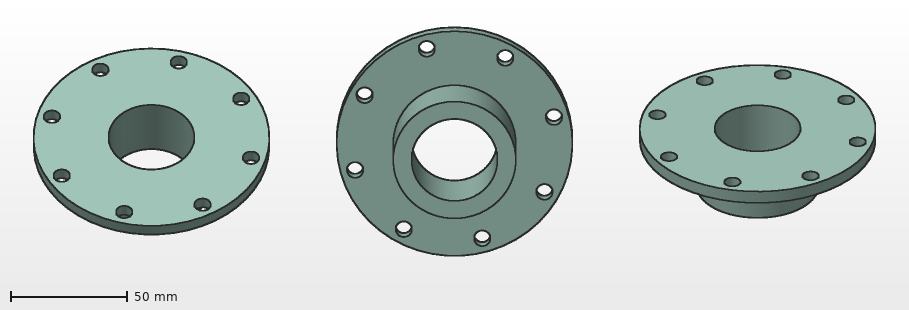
import cadquery as cq

flange_diameter = 101.6
flange_thickness = 5.8
overall_height = 29.0
hub_diameter = 52.8
bore_diameter = 37.0
bolt_circle_diameter = 88.9
bolt_hole_diameter = 7.0
bolt_hole_count = 8

hub_length = overall_height - flange_thickness


def make_body():
    """Round flange on top of a hub, with the hub's lower face at Z = 0."""
    hub = cq.Workplane("XY").circle(hub_diameter / 2).extrude(hub_length)
    flange = (
        cq.Workplane("XY")
        .workplane(offset=hub_length)
        .circle(flange_diameter / 2)
        .extrude(flange_thickness)
    )
    return hub.union(flange)


def cut_bore(body):
    """Central bore through the flange and the hub."""
    return body.faces(">Z").workplane().hole(bore_diameter)


def cut_bolt_holes(body):
    """Evenly spaced through holes around the flange, the first on the X axis."""
    return (
        body.faces(">Z")
        .workplane()
        .polarArray(bolt_circle_diameter / 2, 0, 360, bolt_hole_count)
        .hole(bolt_hole_diameter)
    )


result = cut_bolt_holes(cut_bore(make_body()))